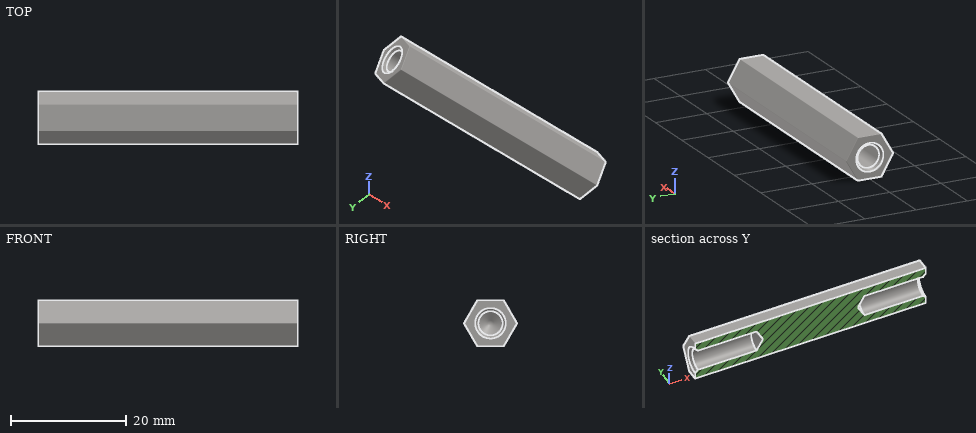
import cadquery as cq
import math

length = 45.0
across_flats = 8.0
edge_radius = 0.1

core_diameter = 4.2
mouth_diameter = 5.3
mouth_angle = 90.0
hole_depth = 12.0
drill_point_angle = 120.0

across_corners = across_flats / math.cos(math.radians(30))


def cone_height(large_radius, small_radius, included_angle):
    """Axial length of a cone between two radii."""
    return (large_radius - small_radius) / math.tan(math.radians(included_angle / 2))


def make_body():
    """Hexagonal bar, flat on top and bottom, with every edge lightly rounded."""
    bar = cq.Workplane("YZ").polygon(6, across_corners).extrude(length)
    return bar.edges().fillet(edge_radius)


def make_hole():
    """Blind hole entering the X = 0 end: countersunk mouth, core and drill point."""
    core_radius = core_diameter / 2
    mouth_radius = mouth_diameter / 2
    mouth_depth = cone_height(mouth_radius, core_radius, mouth_angle)
    tip_depth = hole_depth + cone_height(core_radius, 0, drill_point_angle)
    half_section = (
        cq.Workplane("XY")
        .moveTo(0, 0)
        .lineTo(0, mouth_radius)
        .lineTo(mouth_depth, core_radius)
        .lineTo(hole_depth, core_radius)
        .lineTo(tip_depth, 0)
        .close()
    )
    return half_section.revolve(360, (0, 0, 0), (1, 0, 0))


near_hole = make_hole()
far_hole = near_hole.mirror("YZ", (length / 2, 0, 0))
standoff = make_body().cut(near_hole).cut(far_hole)

result = standoff.translate((-length / 2, 0, 0))